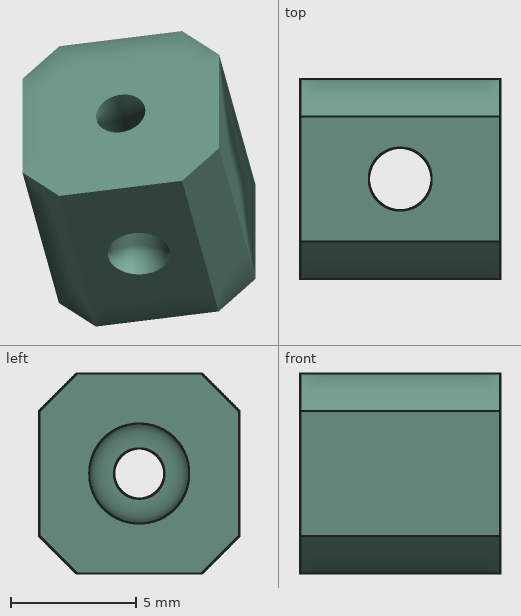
import cadquery as cq

side = 8.0
edge_chamfer = 1.5

bore_diameter = 2.0
counterbore_diameter = 2 * bore_diameter
counterbore_depth = 1.0

cross_hole_diameter = 2.5

block = cq.Workplane("XY").box(side, side, side).edges("|X").chamfer(edge_chamfer)

bored_block = block.faces("<X").workplane().cboreHole(
    bore_diameter, counterbore_diameter, counterbore_depth
)

result = bored_block.faces(">Z").workplane(origin=(0, 0, 0)).hole(cross_hole_diameter)